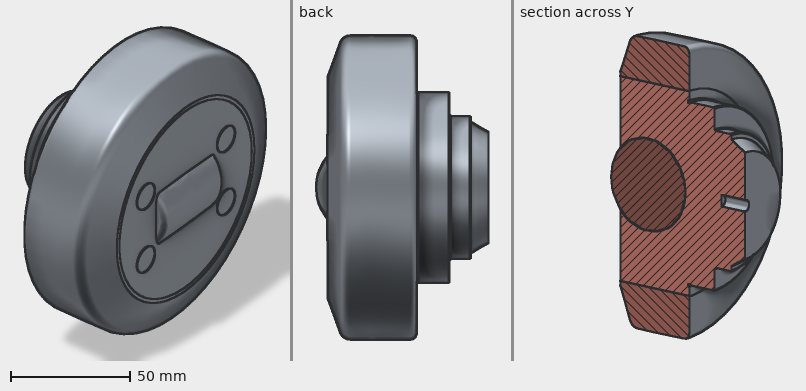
import cadquery as cq
import math

NOSE_END_DIAMETER = 46.5
NOSE_BASE_DIAMETER = 55.2
NOSE_LENGTH = 7.4
STUB_DIAMETER = 59.9
FLANGE_DIAMETER = 80.0
FLANGE_START = 16.4
CORE_DIAMETER = 89.5
EDGE_CHAMFER = 0.5
ROOT_CHAMFER = 0.5
FLANGE_END = 29.3
NECK_DIAMETER = 79.0
GROOVE_DIAMETER = 81.0
GROOVE_DEPTH = 0.6
CENTER_HOLE_DIAMETER = 4.9
CENTER_HOLE_DEPTH = 12.8

RING_DIAMETER = 127.8
RING_START = 30.0
RING_END = 67.3
RING_CROWN = 0.1
FACE_ROUND_RADIUS = 3.0
CONE_ROUND_RADIUS = 4.9
CONE_END_DIAMETER = 93.0
CONE_ANGLE = 20.0

ROLLER_DIAMETER = 40.0
ROLLER_LENGTH = 39.7
ROLLER_ROUND_RADIUS = 2.4
ROLLER_CROWN = 0.3
ROLLER_TIP = 72.3

PAD_DIAMETER = 12.0
PAD_HEIGHT = 0.4
PAD_Y = 27.1
PAD_Z = 16.0


def revolve_about_x(profile):
    """Turn a closed profile, drawn as (x, radius), all the way round the X axis."""
    return profile.close().revolve(360, (0, 0, 0), (1, 0, 0))


def make_roller():
    """Crowned roller turned about Y, then moved until its side reaches the far end of the part."""
    half_length = ROLLER_LENGTH / 2
    edge_radius = ROLLER_DIAMETER / 2 - ROLLER_CROWN
    roller = (
        cq.Workplane("XY")
        .moveTo(0, -half_length)
        .lineTo(edge_radius, -half_length)
        .threePointArc((ROLLER_DIAMETER / 2, 0), (edge_radius, half_length))
        .lineTo(0, half_length)
        .close()
        .revolve(360, (0, 0, 0), (0, 1, 0))
        .edges()
        .fillet(ROLLER_ROUND_RADIUS)
    )
    return roller.translate((ROLLER_TIP - ROLLER_DIAMETER / 2, 0, 0))


def make_pin(roller):
    """Turned pin with its blind center hole, end pads and a pocket that fits the roller."""
    stub_radius = STUB_DIAMETER / 2
    flange_radius = FLANGE_DIAMETER / 2
    neck_radius = NECK_DIAMETER / 2
    groove_radius = GROOVE_DIAMETER / 2
    groove_floor = RING_START + GROOVE_DEPTH
    core_radius = CORE_DIAMETER / 2
    pin = revolve_about_x(
        cq.Workplane("XY")
        .moveTo(0, 0)
        .lineTo(0, NOSE_END_DIAMETER / 2)
        .lineTo(NOSE_LENGTH, NOSE_BASE_DIAMETER / 2)
        .lineTo(NOSE_LENGTH, stub_radius - EDGE_CHAMFER)
        .lineTo(NOSE_LENGTH + EDGE_CHAMFER, stub_radius)
        .lineTo(FLANGE_START - ROOT_CHAMFER, stub_radius)
        .lineTo(FLANGE_START, stub_radius + ROOT_CHAMFER)
        .lineTo(FLANGE_START, flange_radius - EDGE_CHAMFER)
        .lineTo(FLANGE_START + EDGE_CHAMFER, flange_radius)
        .lineTo(FLANGE_END, flange_radius)
        .lineTo(FLANGE_END + EDGE_CHAMFER, neck_radius)
        .lineTo(groove_floor, neck_radius)
        .lineTo(groove_floor, groove_radius)
        .lineTo(RING_START, groove_radius)
        .lineTo(RING_START, core_radius)
        .lineTo(RING_END, core_radius)
        .lineTo(RING_END, 0)
    )
    center_hole = cq.Workplane("YZ").circle(CENTER_HOLE_DIAMETER / 2).extrude(CENTER_HOLE_DEPTH)
    pads = (
        cq.Workplane("YZ", origin=(RING_END, 0, 0))
        .rect(2 * PAD_Y, 2 * PAD_Z, forConstruction=True)
        .vertices()
        .circle(PAD_DIAMETER / 2)
        .extrude(PAD_HEIGHT)
    )
    return pin.union(pads).cut(center_hole).cut(roller)


def make_ring():
    """Ring around the core: a slightly crowned outside between two rounded edges."""
    bore_radius = CORE_DIAMETER / 2
    edge_radius = RING_DIAMETER / 2 - RING_CROWN
    cone_end_radius = CONE_END_DIAMETER / 2
    angle = math.radians(CONE_ANGLE)

    turn = math.pi / 2 - angle
    round_end_radius = edge_radius - CONE_ROUND_RADIUS * (1 - math.cos(turn))
    round_end = RING_END - (round_end_radius - cone_end_radius) * math.tan(angle)
    round_start = round_end - CONE_ROUND_RADIUS * math.sin(turn)
    round_middle = (
        round_start + CONE_ROUND_RADIUS * math.sin(turn / 2),
        edge_radius - CONE_ROUND_RADIUS * (1 - math.cos(turn / 2)),
    )

    face_round_end = RING_START + FACE_ROUND_RADIUS
    arc_inset = FACE_ROUND_RADIUS * (1 - math.sqrt(0.5))
    crown_middle = ((face_round_end + round_start) / 2, RING_DIAMETER / 2)
    return revolve_about_x(
        cq.Workplane("XY")
        .moveTo(RING_START, bore_radius)
        .lineTo(RING_START, edge_radius - FACE_ROUND_RADIUS)
        .threePointArc((RING_START + arc_inset, edge_radius - arc_inset), (face_round_end, edge_radius))
        .threePointArc(crown_middle, (round_start, edge_radius))
        .threePointArc(round_middle, (round_end, round_end_radius))
        .lineTo(RING_END, cone_end_radius)
        .lineTo(RING_END, bore_radius)
    )


roller = make_roller()
pin = make_pin(roller)
ring = make_ring()

result = cq.Compound.makeCompound([pin.val(), ring.val(), roller.val()])